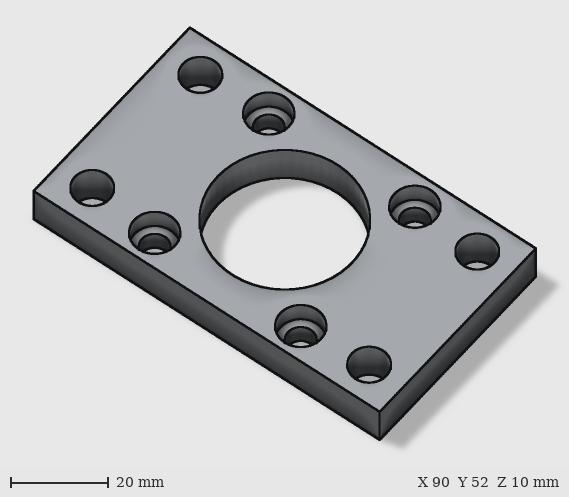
import cadquery as cq

length = 90.0
width = 52.0
thickness = 10.0

bore_diameter = 35.0

corner_hole_diameter = 9.0
corner_spacing_x = 72.0
corner_spacing_y = 36.0

screw_hole_diameter = 6.6
counterbore_diameter = 10.5
counterbore_depth = 5.0
screw_spacing = 38.0

plate = cq.Workplane("XY").box(length, width, thickness)

with_bore = plate.faces(">Z").workplane().hole(bore_diameter)

with_corner_holes = (
    with_bore.faces(">Z").workplane(origin=(0, 0, 0))
    .rarray(corner_spacing_x, corner_spacing_y, 2, 2)
    .hole(corner_hole_diameter)
)

result = (
    with_corner_holes.faces(">Z").workplane(origin=(0, 0, 0))
    .rarray(screw_spacing, screw_spacing, 2, 2)
    .cboreHole(screw_hole_diameter, counterbore_diameter, counterbore_depth)
)